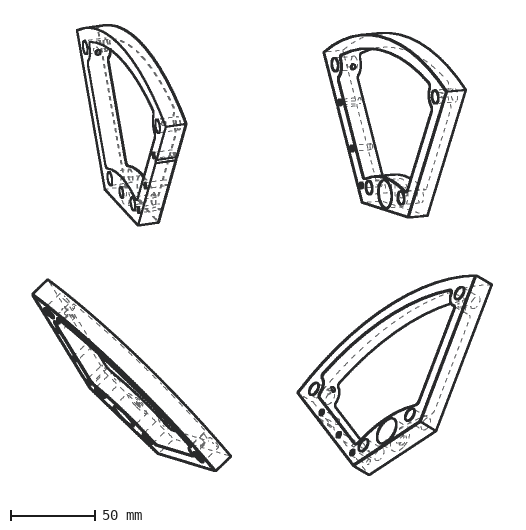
import cadquery as cq
import math


outer_radius = 153.7
overall_height = 103.7
overall_depth = 13.2
half_angle = math.radians(30)
apex_z = overall_height - outer_radius

backing_depth = 0.5
backing_inset = 0.3
frame_depth = overall_depth - backing_depth

rim_width = 8.5
side_width = 9.2
hub_radius = 69.6
lobe_diameter = 16.6
lower_corner_radius = 2.9
lobe_corner_radius = 2.5
upper_corner_min_z = overall_height / 2

mount_diameter = 8.0
upper_mount_x = 62.5
upper_mount_z = 77.8
lower_mount_x = 20.0
lower_mount_z = 10.5
upper_mounts = [(-upper_mount_x, upper_mount_z), (upper_mount_x, upper_mount_z)]
lower_mounts = [(-lower_mount_x, lower_mount_z), (lower_mount_x, lower_mount_z)]

leg_hole_diameter = 3.5
leg_hole_edge_distance = side_width / 2
leg_hole_distances = [67.0, 90.5, 119.9]

center_z = 9.7
center_diameter = 6.5
center_bore_diameter = 16.6
center_lip = 2.0

cross_diameter = 2.9
cross_y = 5.2
cross_tilt = math.radians(5)

groove_diameter = 4.8
groove_depth = 0.6


def cylinders(points, diameter, front, depth):
    """Cylinders along +Y, centred on (x, z) points and starting at Y = front."""
    plane = cq.Workplane("XZ", origin=(0, front, 0))
    return plane.pushPoints(points).circle(diameter / 2).extrude(-depth)


def leg_point(distance, inward):
    """(x, z) at a distance from the apex along the +X side, moved inward from it."""
    x = distance * math.sin(half_angle) - inward * math.cos(half_angle)
    z = apex_z + distance * math.cos(half_angle) + inward * math.sin(half_angle)
    return x, z


def sector(inset, front, depth):
    """Outer sector plate with every side moved inward by the inset."""
    radius = outer_radius - inset
    side_apex_z = apex_z + inset / math.sin(half_angle)
    base_x = (inset - side_apex_z) * math.tan(half_angle)
    corner_angle = half_angle - math.asin(inset / radius)
    corner_x = radius * math.sin(corner_angle)
    corner_z = apex_z + radius * math.cos(corner_angle)
    return (
        cq.Workplane("XZ", origin=(0, front, 0))
        .moveTo(-base_x, inset)
        .lineTo(base_x, inset)
        .lineTo(corner_x, corner_z)
        .threePointArc((0, apex_z + radius), (-corner_x, corner_z))
        .close()
        .extrude(-depth)
    )


def height_band(bottom, top):
    """Selector for edges whose centres lie between two heights and that run along Y."""
    box = cq.selectors.BoxSelector((-outer_radius, 0, bottom), (outer_radius, overall_depth, top))
    return cq.selectors.AndSelector(cq.selectors.ParallelDirSelector(cq.Vector(0, 1, 0)), box)


def window(inset, front, depth):
    """Window between rim, legs and hub, with lobes, widened all round by the inset."""
    side_apex_z = apex_z + (side_width - inset) / math.sin(half_angle)
    top_x = (overall_height - side_apex_z) * math.tan(half_angle)
    wedge = (
        cq.Workplane("XZ", origin=(0, front, 0))
        .moveTo(0, side_apex_z)
        .lineTo(top_x, overall_height)
        .lineTo(-top_x, overall_height)
        .close()
        .extrude(-depth)
    )
    ring = (
        cq.Workplane("XZ", origin=(0, front, apex_z))
        .circle(outer_radius - rim_width + inset)
        .circle(hub_radius - inset)
        .extrude(-depth)
    )
    lobes = cylinders(upper_mounts, lobe_diameter - 2 * inset, front, depth)
    opening = wedge.intersect(ring).cut(lobes)
    opening = cq.Workplane(max(opening.solids().vals(), key=lambda solid: solid.Volume()))
    opening = opening.edges(height_band(0, upper_corner_min_z)).fillet(lower_corner_radius)
    return opening.edges(height_band(upper_corner_min_z, overall_height)).fillet(lobe_corner_radius)


def plate(inset, front, depth):
    """Sector plate with the features that the frame and its backing share."""
    leg_holes = [leg_point(distance, leg_hole_edge_distance) for distance in leg_hole_distances]
    groove_center = leg_point(leg_hole_distances[-1], groove_depth - groove_diameter / 2)
    return (
        sector(inset, front, depth)
        .cut(window(inset, front, depth))
        .cut(cylinders(upper_mounts + lower_mounts, mount_diameter, front, depth))
        .cut(cylinders(leg_holes, leg_hole_diameter, front, depth))
        .cut(cylinders([groove_center], groove_diameter, front, depth))
    )


def cross_hole(x, z):
    """Cylinder from a mounting hole's axis toward the window, tilted slightly down."""
    inward = -math.copysign(1, x)
    start = cq.Vector(x, cross_y, z)
    direction = cq.Vector(inward * math.cos(cross_tilt), 0, -math.sin(cross_tilt))
    return cq.Workplane(cq.Solid.makeCylinder(cross_diameter / 2, lobe_diameter, start, direction))


def make_frame():
    center = [(0, center_z)]
    frame = plate(0, 0, frame_depth)
    frame = frame.cut(cylinders(center, center_diameter, 0, center_lip))
    frame = frame.cut(cylinders(center, center_bore_diameter, center_lip, frame_depth - center_lip))
    for x, z in upper_mounts:
        frame = frame.cut(cross_hole(x, z))
    return frame


def make_backing():
    backing = plate(backing_inset, frame_depth, backing_depth)
    return backing.cut(cylinders([(0, center_z)], center_bore_diameter, frame_depth, backing_depth))


frame = make_frame()
backing = make_backing()

result = cq.Compound.makeCompound([frame.val(), backing.val()])